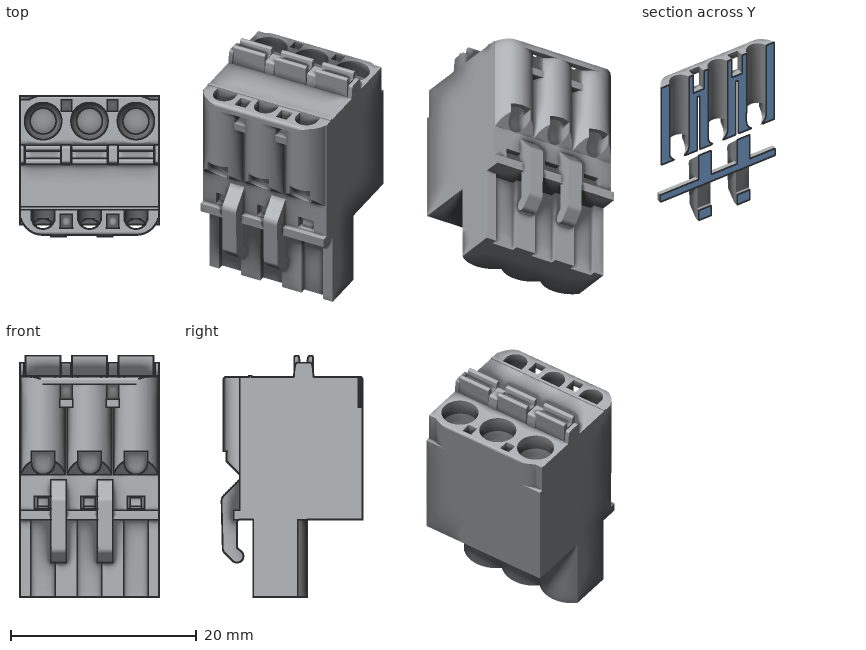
import cadquery as cq
import math


PITCH = 5.0
POLES = 3
WIDTH = POLES * PITCH
HALF_WIDTH = WIDTH / 2
POLE_X = [(i - (POLES - 1) / 2) * PITCH for i in range(POLES)]
GAP_X = [x + PITCH / 2 for x in POLE_X[:-1]]

BODY_FRONT = -13.24
BODY_BOTTOM = 8.33
BODY_TOP = 23.73
FLANGE_FRONT = -13.87
FLANGE_HEIGHT = 1.0

PLUG_REAR = -5.96
PLUG_FRONT = -11.78
PLUG_REAR_BULGE = 1.03
PLUG_RIB_WIDTH = 2.38
PLUG_RECESS_DEPTH = 0.69

RELIEF_DEPTH = 0.44
RELIEF_FLAT = 0.9
RELIEF_END_X = 5.0
RELIEF_BOTTOM = 20.47
REAR_EDGE_RADIUS = 0.27

COLUMN_RADIUS = PITCH / 2
COLUMN_Y = -12.5
COLUMN_FRONT = COLUMN_Y - COLUMN_RADIUS
COLUMN_BOTTOM = 13.2
LIP_BOTTOM = 22.9
TOP_EDGE_RADIUS = 0.35
WIRE_HOLE_RADIUS = 1.25
WIRE_HOLE_REAR = -12.26
WIRE_HOLE_ROUND_Y = -13.08
WIRE_MOUTH_TOP = 15.69
WIRE_MOUTH_ROUND_Z = COLUMN_BOTTOM + WIRE_HOLE_RADIUS

FRONT_POCKET_WIDTH = 1.33
FRONT_POCKET_REAR = -12.76
FRONT_POCKET_FRONT = -14.25
REAR_POCKET_WIDTH = 1.13
REAR_POCKET_REAR = -0.44
REAR_POCKET_FRONT = -1.64
POCKET_FLOOR = 21.29
POCKET_SILL_WIDTH = 1.43
POCKET_SILL_BOTTOM = 20.47

TEST_HOLE_Y = -2.72
TEST_HOLE_DIAMETER = 4.0
TEST_HOLE_DEPTH = 1.83
TEST_HOLE_SEAT_DIAMETER = 2.8
TEST_HOLE_SEAT_DEPTH = 0.6

RIDGE_REAR = -5.25
RIDGE_FRONT = -7.42
RIDGE_TOP = 25.25
RIDGE_DRAFT = 0.2
RIDGE_EDGE_RADIUS = 0.28
RIDGE_END_WIDTH = 0.47
RIDGE_TAB_WIDTH = 1.05
RIDGE_TAB_OFFSET = 2.54
ACTUATOR_WIDTH = 3.8
ACTUATOR_REAR = -5.33
ACTUATOR_FRONT = -7.37
ACTUATOR_TOP = 26.0
ACTUATOR_SLOT_REAR = -5.99
ACTUATOR_SLOT_FRONT = -6.74
PRONG_TOP_WIDTH = 0.5
PRONG_RADIUS = 0.2
GUIDE_REAR = -11.95
GUIDE_WIDTH = 0.3
GUIDE_HEIGHT = 0.12

LEVER_WIDTH = 1.68
LEVER_OFFSET = -0.82
LEVER_X = [x + LEVER_OFFSET for x in GAP_X]
LEVER_FRONT = -15.21
LEVER_REAR = -13.51
LEVER_ROOT_TOP = 12.65
LEVER_SHOULDER_Z = LEVER_ROOT_TOP - (BODY_FRONT - LEVER_FRONT)
LEVER_SHOULDER_RADIUS = 0.9
LEVER_TOE_FRONT = -15.07
LEVER_HEEL_RADIUS = 0.7
LEVER_ROOT_RADIUS = 0.25
LEVER_TIP_Y = -13.52
LEVER_TIP_Z = 4.4
LEVER_TIP_RADIUS = 0.7
LEVER_THROAT_Z = 5.3

SELECT_MARGIN = 0.05

WINDOW_WIDTH = 1.87
WINDOW_BOTTOM = 9.49
WINDOW_TOP = 10.87
WINDOW_REAR = -12.5
CATCH_WIDTH = 1.2
CATCH_FRONT = -12.8
CATCH_EDGE_Z = 9.78
CATCH_TOP = 10.69


def box(x_range, y_range, z_range):
    """Axis-aligned box from pairs of opposite limits."""
    x0, x1 = sorted(x_range)
    y0, y1 = sorted(y_range)
    z0, z1 = sorted(z_range)
    return cq.Workplane("XY").box(x1 - x0, y1 - y0, z1 - z0, centered=False).translate((x0, y0, z0))


def pole_box(x, width, y_range, z_range):
    """Box of the given width centred on x."""
    return box((x - width / 2, x + width / 2), y_range, z_range)


def extrude_x(profile, x, width):
    """Extrude a closed YZ profile to the given width, centred on x."""
    return profile.extrude(width / 2, both=True).translate((x, 0, 0))


def make_body():
    body = box((-HALF_WIDTH, HALF_WIDTH), (0, BODY_FRONT), (BODY_BOTTOM, BODY_TOP))
    body = body.edges(">Y and >Z").fillet(REAR_EDGE_RADIUS)
    flange_z = (BODY_BOTTOM, BODY_BOTTOM + FLANGE_HEIGHT)
    body = body.union(box((-HALF_WIDTH, HALF_WIDTH), (BODY_FRONT, FLANGE_FRONT), flange_z))
    guide_y = (GUIDE_REAR, GUIDE_REAR - GUIDE_WIDTH)
    guide = box((-HALF_WIDTH, HALF_WIDTH), guide_y, (BODY_TOP, BODY_TOP + GUIDE_HEIGHT))
    return body.union(guide)


def make_rear_relief(side):
    """Rounded cut-off of one upper rear corner; side is -1 or +1."""
    arc_start_x = HALF_WIDTH - RELIEF_FLAT
    run = arc_start_x - RELIEF_END_X
    radius = (run**2 + RELIEF_DEPTH**2) / (2 * RELIEF_DEPTH)
    half_angle = math.asin(run / radius) / 2
    mid_x = RELIEF_END_X + radius * math.sin(half_angle)
    mid_y = -radius * (1 - math.cos(half_angle))
    return (
        cq.Workplane("XY", origin=(0, 0, RELIEF_BOTTOM))
        .moveTo(side * RELIEF_END_X, 0)
        .threePointArc((side * mid_x, mid_y), (side * arc_start_x, -RELIEF_DEPTH))
        .lineTo(side * HALF_WIDTH, -RELIEF_DEPTH)
        .lineTo(side * HALF_WIDTH, 0)
        .close()
        .extrude(BODY_TOP - RELIEF_BOTTOM)
    )


def make_plug():
    """Plug end with one bulge per pole at the rear and ribs at the front."""
    bulge_start = PLUG_REAR - PLUG_REAR_BULGE
    outline = cq.Workplane("XY").moveTo(-HALF_WIDTH, PLUG_FRONT).lineTo(-HALF_WIDTH, bulge_start)
    for x in POLE_X:
        outline = outline.threePointArc((x, PLUG_REAR), (x + PITCH / 2, bulge_start))
    plug = outline.lineTo(HALF_WIDTH, PLUG_FRONT).close().extrude(BODY_BOTTOM)
    recess_y = (PLUG_FRONT, PLUG_FRONT + PLUG_RECESS_DEPTH)
    for x in POLE_X:
        plug = plug.cut(pole_box(x, PITCH - PLUG_RIB_WIDTH, recess_y, (0, BODY_BOTTOM)))
    return plug


def make_front_prism(first_x, last_x, z_range):
    """Prism in front of the body whose two ends follow the columns at first_x and last_x."""
    half_chord = math.sqrt(COLUMN_RADIUS**2 - (COLUMN_Y - BODY_FRONT) ** 2)
    outline = (
        cq.Workplane("XY", origin=(0, 0, z_range[0]))
        .moveTo(first_x - half_chord, BODY_FRONT)
        .radiusArc((first_x, COLUMN_FRONT), -COLUMN_RADIUS)
    )
    if last_x > first_x:
        outline = outline.lineTo(last_x, COLUMN_FRONT)
    outline = outline.radiusArc((last_x + half_chord, BODY_FRONT), -COLUMN_RADIUS)
    return outline.close().extrude(z_range[1] - z_range[0])


def make_columns():
    """Half-round columns, chamfered at 45 degrees below and joined by a lip above."""
    reach = BODY_FRONT - COLUMN_FRONT
    chamfer = cq.Workplane("YZ").polyline([
        (BODY_FRONT, COLUMN_BOTTOM),
        (COLUMN_FRONT, COLUMN_BOTTOM),
        (COLUMN_FRONT, COLUMN_BOTTOM + reach),
    ]).close()
    rounding = (
        cq.Workplane("YZ")
        .moveTo(COLUMN_FRONT, BODY_TOP - TOP_EDGE_RADIUS)
        .radiusArc((COLUMN_FRONT + TOP_EDGE_RADIUS, BODY_TOP), TOP_EDGE_RADIUS)
        .lineTo(COLUMN_FRONT, BODY_TOP)
        .close()
    )
    chamfer_cutter = extrude_x(chamfer, 0, WIDTH)
    columns = make_front_prism(POLE_X[0], POLE_X[-1], (LIP_BOTTOM, BODY_TOP))
    columns = columns.cut(extrude_x(rounding, 0, WIDTH))
    for x in POLE_X:
        column = make_front_prism(x, x, (COLUMN_BOTTOM, LIP_BOTTOM))
        columns = columns.union(column.cut(chamfer_cutter))
    sill_z = (POCKET_SILL_BOTTOM, POCKET_FLOOR)
    for x in GAP_X:
        columns = columns.union(pole_box(x, POCKET_SILL_WIDTH, (BODY_FRONT, FRONT_POCKET_FRONT), sill_z))
    return columns


def make_wire_hole(x):
    """Vertical wire hole that turns into an open U-shaped mouth at the front."""
    radius = WIRE_HOLE_RADIUS
    shaft = pole_box(x, 2 * radius, (WIRE_HOLE_REAR, WIRE_HOLE_ROUND_Y), (WIRE_MOUTH_ROUND_Z, BODY_TOP))
    round_front = (
        cq.Workplane("XY", origin=(x, WIRE_HOLE_ROUND_Y, WIRE_MOUTH_ROUND_Z))
        .circle(radius)
        .extrude(BODY_TOP - WIRE_MOUTH_ROUND_Z)
    )
    behind_shaft = (WIRE_HOLE_REAR, WIRE_HOLE_ROUND_Y + 2 * radius)
    round_front = round_front.cut(pole_box(x, 2 * radius, behind_shaft, (WIRE_MOUTH_ROUND_Z, BODY_TOP)))
    mouth_y = (WIRE_HOLE_REAR, COLUMN_FRONT)
    mouth = pole_box(x, 2 * radius, mouth_y, (WIRE_MOUTH_ROUND_Z, WIRE_MOUTH_TOP))
    mouth_round = (
        cq.Workplane("XZ", origin=(x, WIRE_HOLE_REAR, WIRE_MOUTH_ROUND_Z))
        .circle(radius)
        .extrude(WIRE_HOLE_REAR - COLUMN_FRONT)
    )
    return shaft.union(round_front).union(mouth).union(mouth_round)


def make_test_hole(x):
    """Round hole with a conical seat, as one revolved solid."""
    radius = TEST_HOLE_DIAMETER / 2
    seat_z = BODY_TOP - TEST_HOLE_DEPTH
    return (
        cq.Workplane("XZ")
        .moveTo(0, BODY_TOP)
        .lineTo(radius, BODY_TOP)
        .lineTo(radius, seat_z)
        .lineTo(TEST_HOLE_SEAT_DIAMETER / 2, seat_z - TEST_HOLE_SEAT_DEPTH)
        .lineTo(0, seat_z - TEST_HOLE_SEAT_DEPTH)
        .close()
        .revolve(360, (0, 0), (0, 1))
        .translate((x, TEST_HOLE_Y, 0))
    )


def make_ridge_piece(x, width):
    """Drafted ridge section with rounded upper edges."""
    profile = cq.Workplane("YZ").polyline([
        (RIDGE_REAR, BODY_TOP),
        (RIDGE_REAR - RIDGE_DRAFT, RIDGE_TOP),
        (RIDGE_FRONT + RIDGE_DRAFT, RIDGE_TOP),
        (RIDGE_FRONT, BODY_TOP),
    ]).close()
    return extrude_x(profile, x, width).edges("|X and >Z").fillet(RIDGE_EDGE_RADIUS)


def make_ridge():
    end_x = HALF_WIDTH - RIDGE_END_WIDTH / 2
    ridge = make_ridge_piece(-end_x, RIDGE_END_WIDTH).union(make_ridge_piece(end_x, RIDGE_END_WIDTH))
    for x in (-RIDGE_TAB_OFFSET, RIDGE_TAB_OFFSET):
        ridge = ridge.union(make_ridge_piece(x, RIDGE_TAB_WIDTH))
    return ridge


def make_actuator(x):
    """Push actuator with two upright prongs and a tapered slot between them."""
    profile = cq.Workplane("YZ").polyline([
        (ACTUATOR_REAR, BODY_TOP),
        (ACTUATOR_REAR, ACTUATOR_TOP),
        (ACTUATOR_REAR - PRONG_TOP_WIDTH, ACTUATOR_TOP),
        (ACTUATOR_SLOT_REAR, RIDGE_TOP),
        (ACTUATOR_SLOT_FRONT, RIDGE_TOP),
        (ACTUATOR_FRONT + PRONG_TOP_WIDTH, ACTUATOR_TOP),
        (ACTUATOR_FRONT, ACTUATOR_TOP),
        (ACTUATOR_FRONT, BODY_TOP),
    ]).close()
    return extrude_x(profile, x, ACTUATOR_WIDTH).edges("|X and >Z").fillet(PRONG_RADIUS)


def fillet_x_edge(solid, y, z, radius):
    """Round the edge that runs along X through the point (y, z)."""
    nearby = cq.selectors.BoxSelector(
        (-HALF_WIDTH, y - SELECT_MARGIN, z - SELECT_MARGIN),
        (HALF_WIDTH, y + SELECT_MARGIN, z + SELECT_MARGIN),
    )
    return solid.edges("|X").edges(nearby).fillet(radius)


def make_lever(x):
    """Hooked latch lever hanging in front of the plug end."""
    tangent_offset = LEVER_TIP_RADIUS * math.sqrt(0.5)
    underside_y = LEVER_TIP_Y - tangent_offset
    underside_z = LEVER_TIP_Z - tangent_offset
    heel_z = underside_z + (underside_y - LEVER_TOE_FRONT)
    arm = cq.Workplane("YZ").polyline([
        (BODY_FRONT, LEVER_ROOT_TOP),
        (LEVER_FRONT, LEVER_SHOULDER_Z),
        (LEVER_TOE_FRONT, heel_z),
        (underside_y, underside_z),
        (LEVER_TIP_Y + tangent_offset, LEVER_TIP_Z + tangent_offset),
        (LEVER_REAR, LEVER_THROAT_Z),
        (LEVER_REAR, BODY_BOTTOM),
        (BODY_FRONT, BODY_BOTTOM),
    ]).close()
    lever = extrude_x(arm, x, LEVER_WIDTH)
    lever = fillet_x_edge(lever, LEVER_FRONT, LEVER_SHOULDER_Z, LEVER_SHOULDER_RADIUS)
    lever = fillet_x_edge(lever, LEVER_TOE_FRONT, heel_z, LEVER_HEEL_RADIUS)
    lever = fillet_x_edge(lever, LEVER_REAR, BODY_BOTTOM, LEVER_ROOT_RADIUS)
    tip = cq.Workplane("YZ").center(LEVER_TIP_Y, LEVER_TIP_Z).circle(LEVER_TIP_RADIUS)
    return lever.union(extrude_x(tip, x, LEVER_WIDTH))


def make_catch(x):
    """Catch with a steep sloped face, at the back of a window."""
    profile = cq.Workplane("YZ").polyline([
        (WINDOW_REAR, WINDOW_BOTTOM),
        (CATCH_FRONT, WINDOW_BOTTOM),
        (CATCH_FRONT, CATCH_EDGE_Z),
        (WINDOW_REAR, CATCH_TOP),
    ]).close()
    return extrude_x(profile, x, CATCH_WIDTH)


def build():
    part = make_body().union(make_plug()).union(make_columns())
    for side in (-1, 1):
        part = part.cut(make_rear_relief(side))
    for x in POLE_X:
        part = part.cut(make_wire_hole(x)).cut(make_test_hole(x))
        part = part.cut(pole_box(x, WINDOW_WIDTH, (WINDOW_REAR, BODY_FRONT), (WINDOW_BOTTOM, WINDOW_TOP)))
        part = part.union(make_catch(x)).union(make_actuator(x))
    pocket_z = (POCKET_FLOOR, BODY_TOP)
    for x in GAP_X:
        part = part.cut(pole_box(x, FRONT_POCKET_WIDTH, (FRONT_POCKET_REAR, FRONT_POCKET_FRONT), pocket_z))
        part = part.cut(pole_box(x, REAR_POCKET_WIDTH, (REAR_POCKET_REAR, REAR_POCKET_FRONT), pocket_z))
    part = part.union(make_ridge())
    for x in LEVER_X:
        part = part.union(make_lever(x))
    return part


result = build()